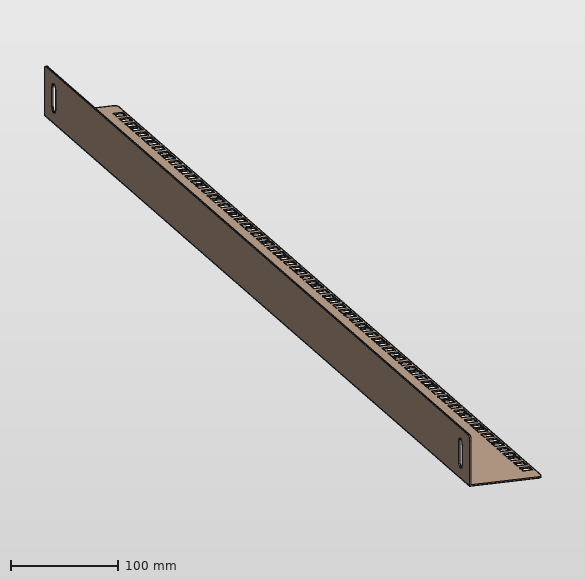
import cadquery as cq

length = 1150.0
depth = 72.0
height = 50.0
thickness = 1.5
corner_radius = 5.0

slot_width = 10.0
slot_height = 29.0
slot_inset = 25.0
slot_center_height = height / 2

rack_units = 25
rack_row_length = 1111.0
rack_unit = rack_row_length / rack_units
hole_spacing = rack_unit * 5 / 14
hole_size = 9.5
hole_edge_inset = 7.0


def make_base():
    """Flat base with its two back corners rounded."""
    plate = cq.Workplane("XY").box(length, depth, thickness, centered=(True, False, False))
    return plate.edges("|Z and >Y").fillet(corner_radius)


def make_wall():
    """Front wall with its two top corners rounded."""
    plate = cq.Workplane("XY").box(length, thickness, height, centered=(True, False, False))
    return plate.edges("|Y and >Z").fillet(corner_radius)


def make_slots():
    """Cutters for the mounting slots, passing through the wall."""
    slot_x = length / 2 - slot_inset
    return (
        cq.Workplane("XZ")
        .pushPoints([(-slot_x, slot_center_height), (slot_x, slot_center_height)])
        .slot2D(slot_height, slot_width, 90)
        .extrude(-thickness)
    )


def make_rack_holes():
    """Cutters for the square rack holes, passing through the base."""
    hole_y = depth - hole_edge_inset
    centers = []
    for unit_number in range(rack_units):
        unit_middle = (unit_number + 0.5) * rack_unit - rack_row_length / 2
        for offset in (-hole_spacing, 0, hole_spacing):
            centers.append((unit_middle + offset, hole_y))
    return cq.Workplane("XY").pushPoints(centers).rect(hole_size, hole_size).extrude(thickness)


base = make_base().cut(make_rack_holes())
wall = make_wall().cut(make_slots())
result = base.union(wall)